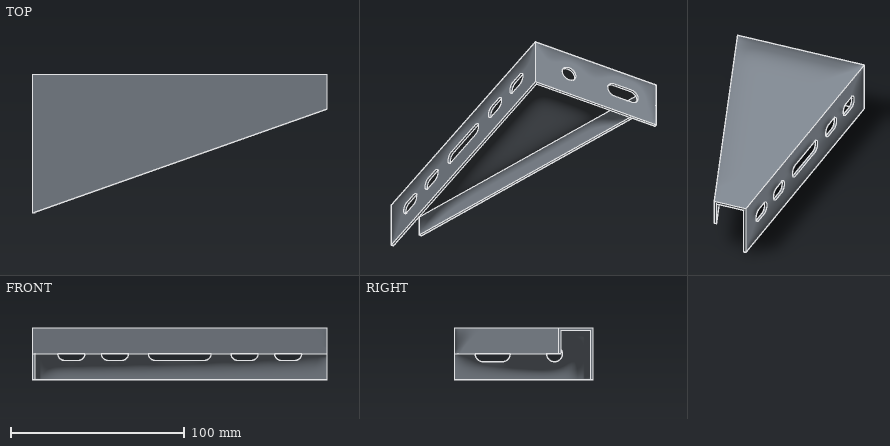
import cadquery as cq

length = 170.0
root_width = 80.0
tip_width = 20.0
height = 30.0
thickness = 1.5
lip_height = height / 2

hole_diameter = 9.0
hole_from_back = 22.3
end_slot_length = 20.0
end_slot_from_back = 58.0
slot_width = 7.5
short_slot_length = 15.5
long_slot_length = 36.0
slot_middle = length / 2
short_slot_offsets = (37.4, 62.5)


def sheet_box(size_x, size_y, size_z, x, y, z):
    """Box with its lowest corner at (x, y, z)."""
    return cq.Workplane("XY").box(size_x, size_y, size_z, centered=False).translate((x, y, z))


outline = [(0, 0), (length, 0), (length, -tip_width), (0, -root_width)]
top_plate = (
    cq.Workplane("XY")
    .workplane(offset=height - thickness)
    .polyline(outline)
    .close()
    .extrude(thickness)
)

back_wall = sheet_box(length, thickness, height, 0, -thickness, 0)
end_wall = sheet_box(thickness, root_width, height, 0, -root_width, 0)

slope = (root_width - tip_width) / length
flange_depth = thickness * (1 + slope**2) ** 0.5
flange = (
    cq.Workplane("XY")
    .workplane(offset=height - lip_height)
    .polyline([
        (0, -root_width),
        (length, -tip_width),
        (length, -tip_width + flange_depth),
        (0, -root_width + flange_depth),
    ])
    .close()
    .extrude(lip_height)
)

wedge = (
    cq.Workplane("XY")
    .workplane(offset=height - lip_height)
    .polyline([
        (0, -root_width),
        (thickness, -root_width),
        (thickness, -root_width + slope * thickness),
    ])
    .close()
    .extrude(lip_height)
)

body = top_plate.union(back_wall).union(end_wall.cut(wedge)).union(flange)

end_plane = cq.Workplane("YZ")
hole = (
    end_plane.center(-hole_from_back, height / 2)
    .circle(hole_diameter / 2)
    .extrude(thickness)
)
end_slot = (
    end_plane.center(-end_slot_from_back, height / 2)
    .slot2D(end_slot_length, hole_diameter)
    .extrude(thickness)
)
body = body.cut(hole).cut(end_slot)

short_slot_places = [
    (slot_middle + side * offset, height / 2)
    for offset in short_slot_offsets
    for side in (-1, 1)
]
back_slots = (
    cq.Workplane("XZ")
    .pushPoints(short_slot_places)
    .slot2D(short_slot_length, slot_width)
    .pushPoints([(slot_middle, height / 2)])
    .slot2D(long_slot_length, slot_width)
    .extrude(thickness)
)
result = body.cut(back_slots)